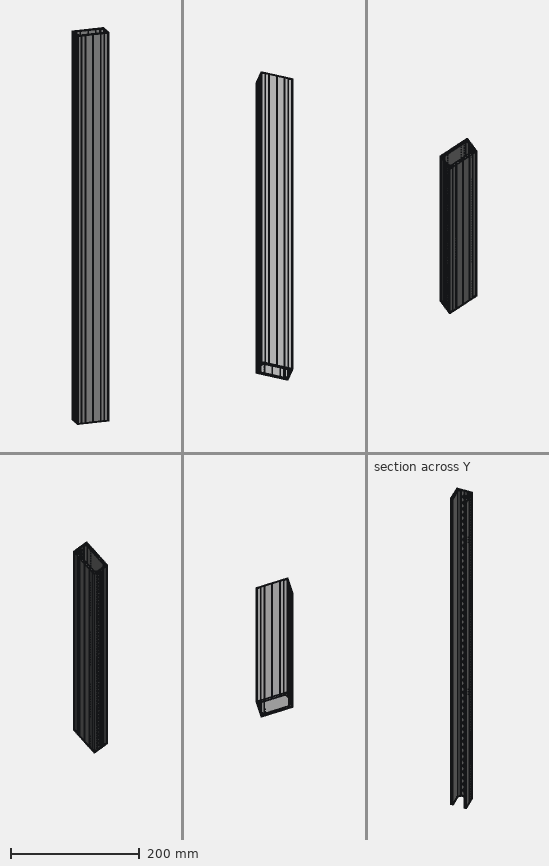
import cadquery as cq
WIDTH = 25.4
DEPTH = 2 * WIDTH
PITCH = WIDTH / 2
LENGTH = 50 * PITCH

SIDE_WALL = PITCH / 4
END_WALL = 1.2

BORE_CORNER_X = 4.6
BORE_CORNER_Y = 4.0
BORE_CORNER_BULGE = 0.25

VOID_INSET = 1.1
VOID_LEG_X = 5.0
VOID_LEG_Y = 5.65
VOID_TIP = 0.4

HOLE_DIAMETER = 5.0
HOLE_COUNT = round(LENGTH / PITCH) - 1

GROOVE_WIDTH = 0.3
SIDE_GROOVE_DEPTH = 1.36
END_GROOVE_DEPTH = 0.5
SIDE_GROOVE_COUNT = 3


def bore():
    wall_x = WIDTH / 2 - SIDE_WALL
    wall_y = DEPTH / 2 - END_WALL
    corner_x = wall_x - BORE_CORNER_X
    corner_y = wall_y - BORE_CORNER_Y
    return (
        cq.Workplane("XY")
        .moveTo(wall_x, -corner_y)
        .lineTo(wall_x, corner_y)
        .sagittaArc((corner_x, wall_y), -BORE_CORNER_BULGE)
        .lineTo(-corner_x, wall_y)
        .sagittaArc((-wall_x, corner_y), -BORE_CORNER_BULGE)
        .lineTo(-wall_x, -corner_y)
        .sagittaArc((-corner_x, -wall_y), -BORE_CORNER_BULGE)
        .lineTo(corner_x, -wall_y)
        .sagittaArc((wall_x, -corner_y), -BORE_CORNER_BULGE)
        .close()
        .extrude(LENGTH)
    )


def corner_voids():
    outer_x = WIDTH / 2 - VOID_INSET
    outer_y = DEPTH / 2 - VOID_INSET
    void = (
        cq.Workplane("XY")
        .moveTo(outer_x, outer_y)
        .lineTo(outer_x - VOID_LEG_X, outer_y)
        .lineTo(outer_x - VOID_LEG_X, outer_y - VOID_TIP)
        .lineTo(outer_x - VOID_TIP, outer_y - VOID_LEG_Y)
        .lineTo(outer_x, outer_y - VOID_LEG_Y)
        .close()
        .extrude(LENGTH)
    )
    pair = void.union(void.mirror("YZ"))
    return pair.union(pair.mirror("XZ"))


def hole_row():
    return (
        cq.Workplane("XZ", origin=(0, 0, LENGTH / 2))
        .rarray(1, PITCH, 1, HOLE_COUNT)
        .circle(HOLE_DIAMETER / 2)
        .extrude(DEPTH / 2, both=True)
    )


def scribe_grooves():
    side_grooves = (
        cq.Workplane("XY")
        .rarray(WIDTH, PITCH, 2, SIDE_GROOVE_COUNT)
        .rect(2 * SIDE_GROOVE_DEPTH, GROOVE_WIDTH)
        .extrude(LENGTH)
    )
    end_grooves = (
        cq.Workplane("XY")
        .rarray(1, DEPTH, 1, 2)
        .rect(GROOVE_WIDTH, 2 * END_GROOVE_DEPTH)
        .extrude(LENGTH)
    )
    return side_grooves.union(end_grooves)


blank = cq.Workplane("XY").rect(WIDTH, DEPTH).extrude(LENGTH)
result = blank.cut(bore()).cut(corner_voids()).cut(hole_row()).cut(scribe_grooves())